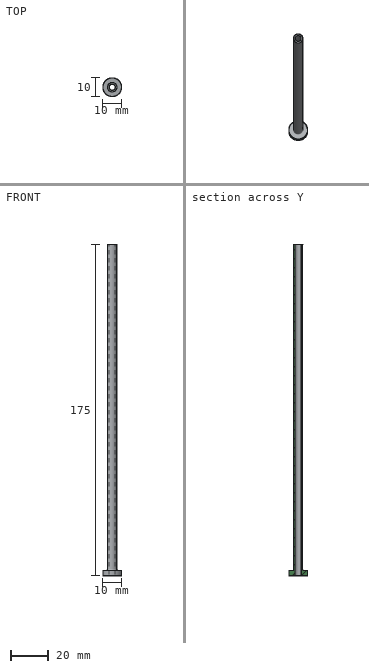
import cadquery as cq

total_length = 175.0
head_diameter = 10.0
head_height = 3.0
shaft_diameter = head_diameter / 2
bore_diameter = 3.2
neck_fillet = 0.3

head_radius = head_diameter / 2
shaft_radius = shaft_diameter / 2
bore_radius = bore_diameter / 2

section = (
    cq.Workplane("XZ")
    .moveTo(-bore_radius, 0)
    .lineTo(-head_radius, 0)
    .lineTo(-head_radius, head_height)
    .lineTo(-shaft_radius - neck_fillet, head_height)
    .radiusArc((-shaft_radius, head_height + neck_fillet), -neck_fillet)
    .lineTo(-shaft_radius, total_length)
    .lineTo(-bore_radius, total_length)
    .close()
)

result = section.revolve(360, (0, 0, 0), (0, 1, 0))